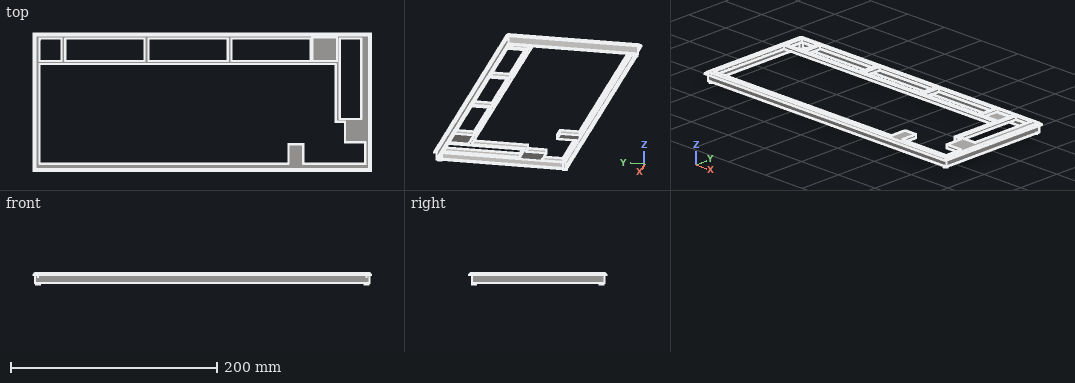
import cadquery as cq

length = 328.0
width = 133.8
height = 11.0

standoff_drop = 1.3
lip_height = 2.13
plate_thickness = 4.0
top_z = height
lip_z = top_z - lip_height
plate_z = top_z - plate_thickness
skirt_z = standoff_drop

bevel_inset = lip_height
skirt_side_inset = 1.5
skirt_front_inset = 3.0
skirt_back_inset = 2.0
side_skirt_thickness = 3.0
end_skirt_thickness = 2.0

left_rim = 6.2
right_rim = 6.0
back_rim = 5.2
front_rim = 7.2
column_rim = 9.8
bar = 4.0
row_bar = 3.0

row_window_depth = 21.5
first_window_length = 21.0
long_window_length = 76.7
long_window_count = 3
column_window_length = 20.5
column_window_depth = 77.7

corner_pad_length = 19.7
corner_pad_depth = 20.0
front_tab_length = 14.8
front_tab_depth = 19.0
front_tab_x = 90.8

badge_length = 23.5
badge_depth = 23.0
badge_recess = 3.3
badge_gap = 1.5

standoff_diameter = 4.0
standoff_hole_diameter = 2.0
standoff_side_inset = 4.5
standoff_end_inset = 5.0

left_x = -length / 2 + left_rim
right_x = length / 2 - right_rim
front_y = -width / 2 + front_rim
back_y = width / 2 - back_rim
row_front_y = back_y - row_window_depth
main_back_y = row_front_y - row_bar
column_right_x = length / 2 - column_rim
column_left_x = column_right_x - column_window_length
column_front_y = back_y - column_window_depth
long_windows_x = left_x + first_window_length + bar
long_pitch = long_window_length + bar


def block(x_min, x_max, y_min, y_max, z_min, z_max):
    """Box given by its limits along each axis."""
    return cq.Workplane("XY").box(
        x_max - x_min, y_max - y_min, z_max - z_min, centered=False
    ).translate((x_min, y_min, z_min))


def through(x_min, x_max, y_min, y_max):
    """Box that passes through the full height."""
    return block(x_min, x_max, y_min, y_max, 0, height)


def make_lip():
    """Top of the frame: a slab whose sides slope out to a sharp lower edge."""
    return (
        cq.Workplane("XY", origin=(0, 0, lip_z))
        .rect(length, width)
        .workplane(offset=lip_height)
        .rect(length - 2 * bevel_inset, width - 2 * bevel_inset)
        .loft(ruled=True)
    )


def make_body():
    """Upper plate with a thin skirt hanging from its outline."""
    skirt_x = length / 2 - skirt_side_inset
    skirt_front_y = -width / 2 + skirt_front_inset
    skirt_back_y = width / 2 - skirt_back_inset
    cavity_x = skirt_x - side_skirt_thickness
    cavity_front_y = skirt_front_y + end_skirt_thickness
    cavity_back_y = skirt_back_y - end_skirt_thickness
    body = block(-skirt_x, skirt_x, skirt_front_y, skirt_back_y, skirt_z, lip_z)
    cavity = block(-cavity_x, cavity_x, cavity_front_y, cavity_back_y, skirt_z, plate_z)
    return body.cut(cavity)


def make_row_windows():
    """One short and three long windows along the back."""
    windows = through(left_x, left_x + first_window_length, row_front_y, back_y)
    for i in range(long_window_count):
        x = long_windows_x + i * long_pitch
        windows = windows.union(through(x, x + long_window_length, row_front_y, back_y))
    return windows


def make_main_opening():
    """Large opening, stepped around the column window, corner pad and front tab."""
    column_bar_x = column_left_x - bar
    step_y = column_front_y - row_bar
    pad_x = right_x - corner_pad_length
    pad_y = step_y - corner_pad_depth
    tab_left = front_tab_x - front_tab_length / 2
    tab_right = front_tab_x + front_tab_length / 2
    tab_y = front_y + front_tab_depth
    outline = [
        (left_x, front_y),
        (tab_left, front_y),
        (tab_left, tab_y),
        (tab_right, tab_y),
        (tab_right, front_y),
        (right_x, front_y),
        (right_x, pad_y),
        (pad_x, pad_y),
        (pad_x, step_y),
        (column_bar_x, step_y),
        (column_bar_x, main_back_y),
        (left_x, main_back_y),
    ]
    return cq.Workplane("XY").polyline(outline).close().extrude(height)


def make_badge_recess():
    """Shallow rectangular recess between the row and column windows."""
    x = long_windows_x + long_window_count * long_pitch - bar + badge_gap
    y = row_front_y
    return block(x, x + badge_length, y, y + badge_depth, top_z - badge_recess, top_z)


def corner_cylinders(diameter):
    """Cylinders at the four corners, from the plate down to the lowest level."""
    return (
        cq.Workplane("XY")
        .rect(length - 2 * standoff_side_inset, width - 2 * standoff_end_inset, forConstruction=True)
        .vertices()
        .circle(diameter / 2)
        .extrude(plate_z)
    )


frame = make_body().union(make_lip())
frame = frame.cut(make_row_windows())
frame = frame.cut(through(column_left_x, column_right_x, column_front_y, back_y))
frame = frame.cut(make_main_opening())
frame = frame.cut(make_badge_recess())
frame = frame.union(corner_cylinders(standoff_diameter))
result = frame.cut(corner_cylinders(standoff_hole_diameter))